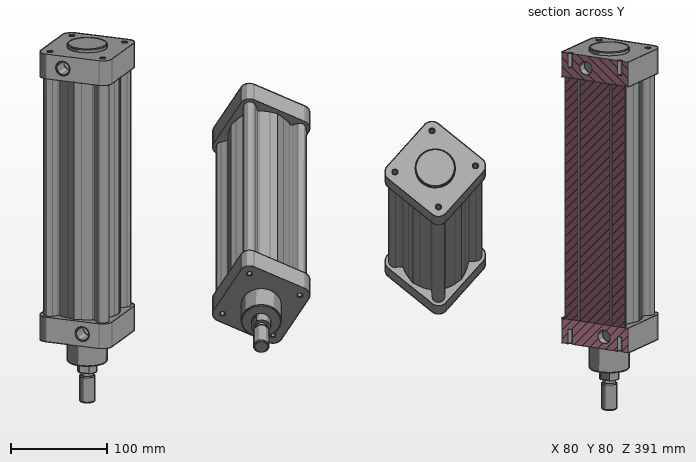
import cadquery as cq
import math

total_length = 391.0
rod_stickout = 44.0
front_boss_length = 28.5
rear_boss_length = 4.0
cap_thickness = 27.0
front_boss_z = rod_stickout
front_cap_z = front_boss_z + front_boss_length
barrel_z = front_cap_z + cap_thickness
rear_cap_z = total_length - rear_boss_length - cap_thickness

cap_side = 80.0
cap_corner_radius = 10.0
boss_diameter = 42.0
boss_chamfer = 0.98
screw_spacing = 59.5
screw_hole_diameter = 4.5
screw_mouth_diameter = 6.3
screw_hole_depth = 15.5
port_diameter = 14.0
port_mouth_diameter = 16.0
port_depth = 19.5
port_offset = 11.0
countersink_angle = 90.0

lobe_center = 29.7
lobe_radius = 6.5
flank_radius = 34.8
ridge_half_width = 8.0
flank_half_width = 18.5
web_slope = 45.0

rod_diameter = 20.0
wrench_flat_width = 17.0
rod_shoulder_length = 1.0
thread_length = 29.0
thread_diameter = 16.0
thread_chamfer = 1.0
neck_diameter = 13.3
shank_z = 33.0


def make_cap(boss_length):
    """Cap with its inner face on Z = 0 and its boss pointing up; the port opens to -Y, left of centre."""
    block = cq.Workplane("XY").box(cap_side, cap_side, cap_thickness, centered=(True, True, False))
    block = block.edges("|Z").fillet(cap_corner_radius)
    block = (
        block.faces(">Z")
        .workplane()
        .rect(screw_spacing, screw_spacing, forConstruction=True)
        .vertices()
        .cskHole(screw_hole_diameter, screw_mouth_diameter, countersink_angle, screw_hole_depth)
    )
    block = (
        block.faces("<Y")
        .workplane(origin=(-port_offset, 0, cap_thickness / 2))
        .cskHole(port_diameter, port_mouth_diameter, countersink_angle, port_depth)
    )
    boss = (
        cq.Workplane("XY")
        .workplane(offset=cap_thickness)
        .circle(boss_diameter / 2)
        .extrude(boss_length)
        .faces(">Z")
        .chamfer(boss_chamfer)
    )
    return block.union(boss)


def make_front_cap():
    cap = make_cap(front_boss_length)
    return cap.rotate((0, 0, 0), (0, 1, 0), 180).translate((0, 0, barrel_z))


def make_rear_cap():
    return make_cap(rear_boss_length).translate((0, 0, rear_cap_z))


def normal(slope):
    """Unit normal of the +Y side where it falls away towards +X at the given slope in degrees."""
    return cq.Vector(math.sin(math.radians(slope)), math.cos(math.radians(slope)))


def turned(point, quarter, half=1):
    """A point of the +Y side's right half (1) or left half (-1), turned clockwise by quarter turns."""
    x = half * point.x
    y = point.y
    for _ in range(quarter):
        x, y = y, -x
    return x, y


def make_barrel():
    ridge_slope = math.degrees(math.asin(ridge_half_width / flank_radius))
    flank_end_slope = math.degrees(math.asin(flank_half_width / flank_radius))
    web_normal = normal(-web_slope)
    ridge = cq.Vector(0, flank_radius / math.cos(math.radians(ridge_slope)))
    shoulder = normal(ridge_slope) * flank_radius
    flank_mid = normal((ridge_slope + flank_end_slope) / 2) * flank_radius
    flank_end = normal(flank_end_slope) * flank_radius

    end_normal = normal(flank_end_slope)
    root_radius = (flank_end.dot(web_normal) - lobe_radius) / (1 - end_normal.dot(web_normal))
    root_center = flank_end + end_normal * root_radius
    root_mid = root_center - normal((flank_end_slope - web_slope) / 2) * root_radius
    root_end = root_center - web_normal * root_radius

    lobe = cq.Vector(lobe_center, lobe_center)
    lobe_start = lobe + web_normal * lobe_radius
    lobe_tip = lobe + normal(web_slope) * lobe_radius
    lobe_end = lobe - web_normal * lobe_radius

    section = cq.Workplane("XY").workplane(offset=barrel_z).moveTo(*turned(lobe_start, 0, -1))
    for quarter in range(4):
        section = (
            section.lineTo(*turned(root_end, quarter, -1))
            .threePointArc(turned(root_mid, quarter, -1), turned(flank_end, quarter, -1))
            .threePointArc(turned(flank_mid, quarter, -1), turned(shoulder, quarter, -1))
            .lineTo(*turned(ridge, quarter))
            .lineTo(*turned(shoulder, quarter))
            .threePointArc(turned(flank_mid, quarter), turned(flank_end, quarter))
            .threePointArc(turned(root_mid, quarter), turned(root_end, quarter))
            .lineTo(*turned(lobe_start, quarter))
            .threePointArc(turned(lobe_tip, quarter), turned(lobe_end, quarter))
        )
    return section.close().extrude(rear_cap_z - barrel_z)


def make_piston_rod():
    thread = cq.Workplane("XY").circle(thread_diameter / 2).extrude(thread_length)
    thread = thread.faces("<Z or >Z").chamfer(thread_chamfer)
    neck = (
        cq.Workplane("XY")
        .workplane(offset=thread_length)
        .circle(neck_diameter / 2)
        .extrude(shank_z - thread_length)
    )
    shank = (
        cq.Workplane("XY")
        .workplane(offset=shank_z)
        .circle(rod_diameter / 2)
        .extrude(front_boss_z - shank_z)
    )
    flat_height = front_boss_z - rod_shoulder_length - shank_z
    for side in (-1, 1):
        flat_y = side * (wrench_flat_width + rod_diameter) / 2
        flat = cq.Workplane("XY").box(rod_diameter, rod_diameter, flat_height, centered=(True, True, False))
        shank = shank.cut(flat.translate((0, flat_y, shank_z)))
    return thread.union(neck).union(shank)


front_cap = make_front_cap()
rear_cap = make_rear_cap()
barrel = make_barrel()
piston_rod = make_piston_rod()

result = cq.Compound.makeCompound(
    [front_cap.val(), rear_cap.val(), barrel.val(), piston_rod.val()]
)